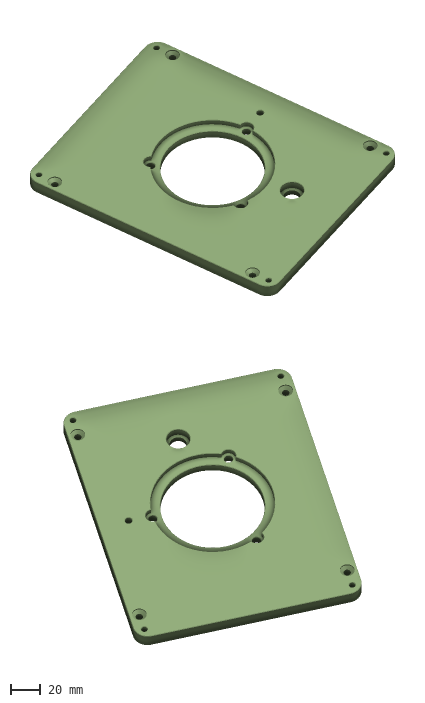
import cadquery as cq

plate_length = 200
plate_width = 160
plate_thickness = 10
corner_radius = 10

edge_break = 0.5
edge_break_angle = 90

bore_diameter = 71.0
recess_diameter = 84.5
recess_depth = 4
mount_circle_radius = 42
mount_hole_count = 3
first_mount_angle = 90
mount_hole_diameter = 6
mount_lobe_diameter = 10

pin_hole_diameter = 5.0
pin_hole_y = 59.0

side_hole_x = 59.0
side_hole_y = 8.2
side_hole_diameter = 11.5
side_bore_diameter = 16.2
side_bore_depth = 6

hole_edge_offset = 7.0
corner_hole_diameter = 4.2
screw_end_offset = 20
screw_hole_diameter = 5.0
screw_head_diameter = 10
screw_head_recess = 1.0
screw_cone_depth = 1.5

corner_hole_x = plate_length / 2 - hole_edge_offset
screw_hole_x = plate_length / 2 - screw_end_offset
hole_row_y = plate_width / 2 - hole_edge_offset
recess_floor = plate_thickness - recess_depth


def top_plane(part, height=plate_thickness):
    """Workplane at the given height with its origin above the plate centre."""
    return part.copyWorkplane(cq.Workplane("XY", origin=(0, 0, height)))


def mirrored_points(x, y):
    """The four points symmetric about both centre lines."""
    return [(side * x, end * y) for side in (-1, 1) for end in (-1, 1)]


def on_mount_circle(part, height=plate_thickness):
    """Place the mounting hole centres around the ring."""
    return top_plane(part, height).polarArray(mount_circle_radius, first_mount_angle, 360, mount_hole_count)


def make_plate():
    """Rounded plate with its lower outline chamfered."""
    plate = cq.Workplane("XY").box(plate_length, plate_width, plate_thickness, centered=(True, True, False))
    plate = plate.edges("|Z").fillet(corner_radius)
    return plate.faces("<Z").edges().chamfer(edge_break)


def rim_chamfer_hole(location, diameter):
    """Through hole with a chamfered upper rim."""
    return location.cskHole(diameter, diameter + 2 * edge_break, edge_break_angle)


def cut_recess(part):
    """Round recess widened by a lobe at each mounting hole."""
    part = top_plane(part).circle(recess_diameter / 2).cutBlind(-recess_depth)
    return on_mount_circle(part).circle(mount_lobe_diameter / 2).cutBlind(-recess_depth)


def cut_side_counterbore(part):
    side_hole = top_plane(part).center(side_hole_x, side_hole_y)
    return side_hole.cboreHole(side_hole_diameter, side_bore_diameter, side_bore_depth)


def cut_ring_holes(part):
    """Central bore and mounting holes, chamfered where they meet the recess floor."""
    part = rim_chamfer_hole(top_plane(part, recess_floor), bore_diameter)
    return rim_chamfer_hole(on_mount_circle(part, recess_floor), mount_hole_diameter)


def make_screw_cutter():
    """Through hole, cone and shallow cylindrical head recess about the Z axis."""
    hole_radius = screw_hole_diameter / 2
    head_radius = screw_head_diameter / 2
    cone_top = plate_thickness - screw_head_recess
    profile = cq.Workplane("XZ").polyline([
        (0, 0),
        (hole_radius, 0),
        (hole_radius, cone_top - screw_cone_depth),
        (head_radius, cone_top),
        (head_radius, plate_thickness),
        (0, plate_thickness),
    ]).close()
    return profile.revolve(360, (0, 0, 0), (0, 1, 0))


def cut_screw_holes(part):
    cutter = make_screw_cutter()
    for x, y in mirrored_points(screw_hole_x, hole_row_y):
        part = part.cut(cutter.translate((x, y, 0)))
    return part


def cut_pin_hole(part):
    return rim_chamfer_hole(top_plane(part).center(0, pin_hole_y), pin_hole_diameter)


def cut_corner_holes(part):
    centres = top_plane(part).pushPoints(mirrored_points(corner_hole_x, hole_row_y))
    return rim_chamfer_hole(centres, corner_hole_diameter)


plate = make_plate()
plate = cut_recess(plate)
plate = cut_side_counterbore(plate)
plate = plate.faces(">Z").edges().chamfer(edge_break)
plate = cut_ring_holes(plate)
plate = cut_pin_hole(plate)
plate = cut_corner_holes(plate)
result = cut_screw_holes(plate)